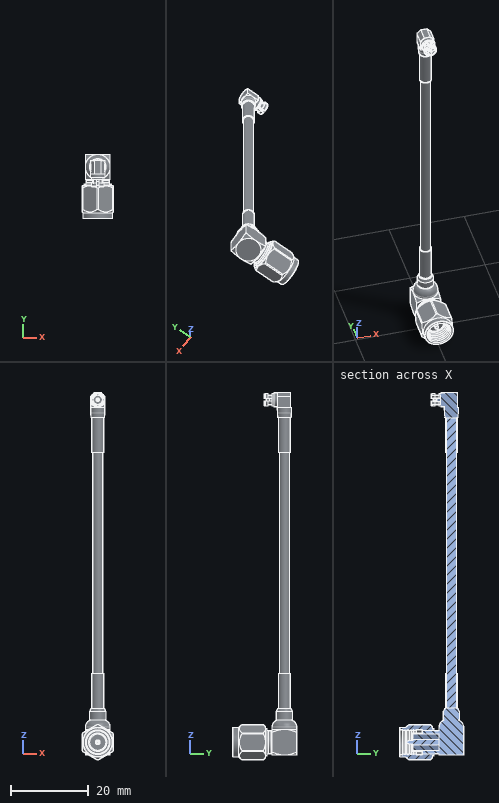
import cadquery as cq
import math


total_height = 94.3
total_depth = 16.5
nut_flats = 8.0
nut_sides = 6
nut_corner_diameter = 9.05
top_z = total_height - nut_corner_diameter / 2

cable_diameter = 2.6
sleeve_diameter = 3.1
sleeve_length = 9.0

large_axis_z = 0
block_width = 6.4
block_half = block_width / 2
front_end = total_depth - block_half
block_bottom = -3.3
block_top = 3.3
corner_slope = math.tan(math.radians(30))
shoulder_top = 3.9
collar_bottom = 5.75
collar_chamfer_start = 7.8
collar_top = 8.7
dome_top_diameter = 3.7
collar_diameter = 4.2
collar_tip_diameter = 3.5
neck_diameter = 6.1
neck_end = 7.5
neck_groove_diameter = 5.9
neck_groove_start = 3.5
neck_groove_end = 4.1
insulator_diameter = 4.15
outer_contact_diameter = 4.7
outer_contact_end = 9.9

nut_rear = 4.4
nut_rear_diameter = 7.0
nut_collar_end = 4.8
nut_shoulder_diameter = 7.9
nut_corner_start = 5.4
nut_corner_end = 10.9
nut_hex_end = 11.8
nut_front_diameter = 7.6
nut_rim_chamfer = 0.1
nut_bore_diameter = 6.3
thread_minor_diameter = 5.8
thread_pitch = 0.71
thread_count = 5
thread_end = 12.5

pin_root_diameter = 1.2
pin_diameter = 0.9
pin_tip_diameter = 0.4
pin_tip_length = 0.5
pin_end = 11.5

small_block_width = 3.7
small_block_height = 3.9
small_axis_z = top_z - small_block_height / 2
small_block_bottom = top_z - small_block_height
small_block_back = 1.6
small_block_front = 1.8
small_block_bevel = 1.0
flange_end = 2.7
shank_end = 3.2
groove_end = 4.15
small_end = 5.2
lip_tip_diameter = 2.9
lip_chamfer_length = 0.3
shank_diameter = 3.3
groove_diameter = 2.6
small_bore_diameter = 2.4
small_bore_floor = 2.8
slot_width = 0.6
small_collar_diameter = 3.7
small_collar_shoulder = 84.4
small_collar_bottom = 83.25
contact_diameter = 0.89
contact_hole_diameter = 0.4
contact_hole_depth = 0.9
contact_end = 4.7


def turned_upright(points):
    """Solid of revolution about the cable axis, from (radius, height) points."""
    return cq.Workplane("XZ").polyline(points).close().revolve(360, (0, 0), (0, 1))


def turned_forward(points, axis_z):
    """Solid of revolution about a line along -Y, from (radius, distance from the cable axis) points."""
    outline = [(radius, -distance) for radius, distance in points]
    turned = cq.Workplane("XY").polyline(outline).close().revolve(360, (0, 0), (0, 1))
    return turned.translate((0, 0, axis_z))


def rod_forward(diameter, start, end, axis_z):
    """Plain round rod along -Y between two distances from the cable axis."""
    rod = cq.Workplane("XZ").circle(diameter / 2).extrude(end - start)
    return rod.translate((0, -start, axis_z))


def make_cable():
    """Plain cable between the two connectors."""
    length = small_collar_bottom - collar_top
    return cq.Workplane("XY").workplane(offset=collar_top).circle(cable_diameter / 2).extrude(length)


def make_sleeve(bottom_z):
    """Tube around the cable next to a connector."""
    ring = cq.Workplane("XY").workplane(offset=bottom_z)
    return ring.circle(sleeve_diameter / 2).circle(cable_diameter / 2).extrude(sleeve_length)


def make_large_block():
    """Square block whose top and bottom corners are turned down to a cone."""
    height = block_top - block_bottom
    block = cq.Workplane("XY").workplane(offset=block_bottom).rect(block_width, block_width).extrude(height)
    rim = block_half * math.sqrt(2)
    drop = (rim - block_half) * corner_slope
    envelope = [
        (0, block_bottom),
        (block_half, block_bottom),
        (rim, block_bottom + drop),
        (rim, block_top - drop),
        (block_half, block_top),
        (0, block_top),
    ]
    return block.intersect(turned_upright(envelope))


def make_cable_entry():
    """Round shoulder, dome and chamfered collar that take the cable into the large connector."""
    return (
        cq.Workplane("XZ")
        .moveTo(0, 0)
        .lineTo(block_half, 0)
        .lineTo(block_half, shoulder_top)
        .tangentArcPoint((dome_top_diameter / 2, collar_bottom), relative=False)
        .lineTo(collar_diameter / 2, collar_bottom)
        .lineTo(collar_diameter / 2, collar_chamfer_start)
        .lineTo(collar_tip_diameter / 2, collar_top)
        .lineTo(0, collar_top)
        .close()
        .revolve(360, (0, 0), (0, 1))
    )


def make_large_body():
    """Block with cable entry, grooved neck and hollow outer contact."""
    neck = turned_forward(
        [
            (0, 0),
            (neck_diameter / 2, 0),
            (neck_diameter / 2, neck_groove_start),
            (neck_groove_diameter / 2, neck_groove_start),
            (neck_groove_diameter / 2, neck_groove_end),
            (neck_diameter / 2, neck_groove_end),
            (neck_diameter / 2, neck_end),
            (0, neck_end),
        ],
        large_axis_z,
    )
    outer_contact = rod_forward(outer_contact_diameter, 0, outer_contact_end, large_axis_z)
    bore = rod_forward(insulator_diameter, block_half, outer_contact_end, large_axis_z)
    return make_large_block().union(make_cable_entry()).union(neck).union(outer_contact).cut(bore)


def make_insulator():
    """Round plug that fills the outer contact around the pin."""
    insulator = rod_forward(insulator_diameter, block_half, outer_contact_end, large_axis_z)
    return insulator.cut(rod_forward(pin_root_diameter, block_half, outer_contact_end, large_axis_z))


def make_pin():
    """Stepped centre pin with a coned tip."""
    return turned_forward(
        [
            (0, block_half),
            (pin_root_diameter / 2, block_half),
            (pin_root_diameter / 2, outer_contact_end),
            (pin_diameter / 2, outer_contact_end),
            (pin_diameter / 2, pin_end - pin_tip_length),
            (pin_tip_diameter / 2, pin_end),
            (0, pin_end),
        ],
        large_axis_z,
    )


def make_nut_bore():
    """Bore of the nut as a solid, with the thread as separate ring-shaped ridges."""
    major = nut_bore_diameter / 2
    minor = thread_minor_diameter / 2
    outline = [(0, neck_end), (major, neck_end)]
    for turns_left in range(thread_count, 0, -1):
        ridge_start = thread_end - turns_left * thread_pitch
        outline += [(major, ridge_start), (minor, ridge_start + thread_pitch / 2)]
    outline += [(major, thread_end), (major, front_end), (0, front_end)]
    return turned_forward(outline, large_axis_z)


def make_nut():
    """Hexagon nut with coned ends and a plain round front, hollow for the outer contact."""
    half_side_angle = math.pi / nut_sides
    corner_radius = nut_corner_diameter / 2
    front_radius = nut_front_diameter / 2
    blank = turned_forward(
        [
            (0, nut_rear),
            (nut_rear_diameter / 2, nut_rear),
            (nut_rear_diameter / 2, nut_collar_end),
            (nut_shoulder_diameter / 2, nut_collar_end),
            (corner_radius, nut_corner_start),
            (corner_radius, nut_corner_end),
            (front_radius, nut_hex_end),
            (front_radius, front_end - nut_rim_chamfer),
            (front_radius - nut_rim_chamfer, front_end),
            (0, front_end),
        ],
        large_axis_z,
    )
    hexagon = (
        cq.Workplane("XZ")
        .polygon(nut_sides, nut_flats / math.cos(half_side_angle))
        .extrude(front_end)
        .rotate((0, 0, 0), (0, 1, 0), math.degrees(half_side_angle))
    )
    rear_hole = rod_forward(neck_diameter, nut_rear, neck_end, large_axis_z)
    bore = make_nut_bore()
    return blank.intersect(hexagon).cut(rear_hole).cut(bore)


def make_small_block():
    """Block with its two top edges bevelled."""
    depth = small_block_back + small_block_front
    block = (
        cq.Workplane("XY")
        .box(small_block_width, depth, small_block_height)
        .edges("|Y and >Z")
        .chamfer(small_block_bevel)
    )
    return block.translate((0, (small_block_back - small_block_front) / 2, small_axis_z))


def make_small_collar():
    """Chamfered collar under the small block, where the cable ends."""
    radius = small_collar_diameter / 2
    return turned_upright(
        [
            (0, small_block_bottom),
            (radius, small_block_bottom),
            (radius, small_collar_shoulder),
            (collar_tip_diameter / 2, small_collar_bottom),
            (0, small_collar_bottom),
        ]
    )


def make_small_body():
    """Block and collar with a grooved snap-in nose, bored and slotted into four fingers."""
    body = make_small_block()
    collar = make_small_collar()
    nose = turned_forward(
        [
            (0, small_block_front),
            (small_block_width / 2, small_block_front),
            (small_block_width / 2, flange_end),
            (shank_diameter / 2, flange_end),
            (shank_diameter / 2, shank_end),
            (groove_diameter / 2, shank_end),
            (groove_diameter / 2, groove_end),
            (shank_diameter / 2, groove_end),
            (shank_diameter / 2, small_end - lip_chamfer_length),
            (lip_tip_diameter / 2, small_end),
            (0, small_end),
        ],
        small_axis_z,
    )
    bore = rod_forward(small_bore_diameter, small_bore_floor, small_end, small_axis_z)
    body = body.union(collar).union(nose).cut(bore)
    slot_length = small_end - shank_end
    for size in ((slot_width, small_block_width), (small_block_width, slot_width)):
        slot = cq.Workplane("XZ").rect(*size).extrude(slot_length)
        body = body.cut(slot.translate((0, -shank_end, small_axis_z)))
    return body


def make_contact():
    """Socket contact standing on the floor of the nose bore."""
    pin = rod_forward(contact_diameter, small_bore_floor, contact_end, small_axis_z)
    hole = rod_forward(contact_hole_diameter, contact_end - contact_hole_depth, contact_end, small_axis_z)
    return pin.cut(hole)


cable = make_cable()
sleeves = [make_sleeve(z) for z in (collar_top, small_collar_bottom - sleeve_length)]
large_body = make_large_body()
nut = make_nut()
insulator = make_insulator()
pin = make_pin()
small_body = make_small_body()
contact = make_contact()

result = cq.Compound.makeCompound(
    [
        cable.val(),
        *[sleeve.val() for sleeve in sleeves],
        large_body.val(),
        nut.val(),
        insulator.val(),
        pin.val(),
        small_body.val(),
        contact.val(),
    ]
)